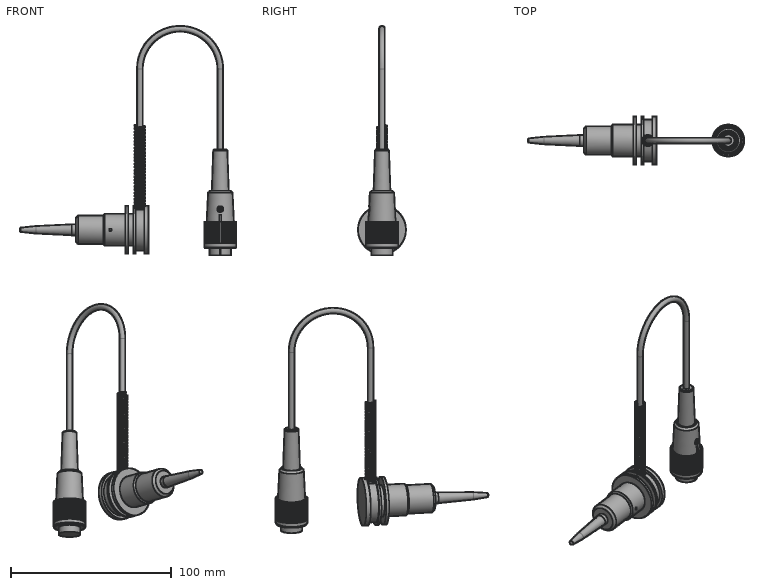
import cadquery as cq
import math


POINT_DIA = 2.9
POINT_LENGTH = 0.7
FRONT_CONE_DIA = 4.8
FRONT_CONE_END = 10.0
REAR_CONE_DIA = 7.0
REAR_CONE_END = 32.2
COLLAR_DIA = 7.1
SOCKET_DEPTH = 4.3

BARREL_START = 34.8
FRONT_BARREL_DIA = 18.0
NOSE_CHAMFER = 1.5
REAR_BARREL_START = 51.9
REAR_BARREL_DIA = 20.0
STEP_CHAMFER = (REAR_BARREL_DIA - FRONT_BARREL_DIA) / 2
FLANGE_DIA = 30.0
GUARD_START = 65.8
GUARD_END = 67.6
SPOOL_START = 70.6
GROOVE_START = 72.0
GROOVE_END = 77.3
HANDLE_END = 80.2
GROOVE_DIA = 26.2
SIDE_HOLE_DIA = 1.5
SIDE_HOLE_X = 56.3
SIDE_HOLE_DEPTH = 2.1

CABLE_DIA = 3.7
CABLE_X = (GROOVE_START + GROOVE_END) / 2
CONNECTOR_X = 124.7
ARCH_RADIUS = (CONNECTOR_X - CABLE_X) / 2
CABLE_TOP = 126.8
ARCH_Z = CABLE_TOP - ARCH_RADIUS - CABLE_DIA / 2

WIRE_DIA = 1.0
SPRING_OUTER_DIA = 6.7
SPRING_PITCH = 2 * WIRE_DIA
SPRING_TURNS = 26
SPRING_RADIUS = (SPRING_OUTER_DIA - WIRE_DIA) / 2
WIRE_CLEARANCE = 0.07
SPRING_SEAT_DIA = 7.0
SPRING_SEAT_Z = 12.4
SPRING_START = SPRING_SEAT_Z + WIRE_DIA / 2 + WIRE_CLEARANCE

BOOT_TOP = 49.9
BOOT_TOP_DIA = 9.0
BOOT_CHAMFER = 0.7
BOOT_BOTTOM_DIA = 10.7
BODY_TOP = 24.4
BODY_CHAMFER = 1.4
BODY_TOP_DIA = 15.4
BODY_BOTTOM_DIA = 17.1
PLUG_DIA = 13.5
PLUG_BOTTOM = -15.8
SCREW_DIA = 3.7
SCREW_Z = 12.8
SCREW_RECESS = 0.4
CROSS_WIDTH = 0.7
CROSS_LENGTH = 2.9
CROSS_DEPTH = 0.9
SLOT_WIDTH = 1.1
SLOT_DEPTH = 0.9
SLOT_TOP = 9.3
KEYWAY_WIDTH = 0.9
KEYWAY_DEPTH = 1.0
KEYWAY_BOTTOM = -15.0

NUT_DIA = 20.0
NUT_TOP = 4.8
NUT_BOTTOM = -11.5
NUT_CHAMFER_WIDTH = 0.4
NUT_CHAMFER_HEIGHT = 0.9
KNURL_BOTTOM = -8.4
KNURL_DEPTH = 0.4
KNURL_COUNT = 120
INDEX_WIDTH = 1.3


def revolve_about_x(points):
    """Turn (x, radius) points, closed along the X axis, into a solid."""
    outline = cq.Workplane("XY").moveTo(points[0][0], 0).lineTo(*points[0])
    for point in points[1:]:
        outline = outline.lineTo(*point)
    return outline.lineTo(points[-1][0], 0).close().revolve(360, (0, 0), (1, 0))


def make_probe():
    point_radius = POINT_DIA / 2
    ball_radius = (point_radius**2 + POINT_LENGTH**2) / (2 * POINT_LENGTH)
    half_angle = math.asin(point_radius / ball_radius) / 2
    arc_middle = (ball_radius * (1 - math.cos(half_angle)), ball_radius * math.sin(half_angle))
    probe_end = BARREL_START + SOCKET_DEPTH
    return (
        cq.Workplane("XY")
        .threePointArc(arc_middle, (POINT_LENGTH, point_radius))
        .lineTo(FRONT_CONE_END, FRONT_CONE_DIA / 2)
        .lineTo(REAR_CONE_END, REAR_CONE_DIA / 2)
        .lineTo(REAR_CONE_END, COLLAR_DIA / 2)
        .lineTo(probe_end, COLLAR_DIA / 2)
        .lineTo(probe_end, 0)
        .close()
        .revolve(360, (0, 0), (1, 0))
    )


def make_handle():
    front, rear, flange, groove = (
        dia / 2 for dia in (FRONT_BARREL_DIA, REAR_BARREL_DIA, FLANGE_DIA, GROOVE_DIA)
    )
    handle = revolve_about_x([
        (BARREL_START, front - NOSE_CHAMFER),
        (BARREL_START + NOSE_CHAMFER, front),
        (REAR_BARREL_START, front),
        (REAR_BARREL_START + STEP_CHAMFER, rear),
        (GUARD_START, rear),
        (GUARD_START, flange),
        (GUARD_END, flange),
        (GUARD_END, rear),
        (SPOOL_START, rear),
        (SPOOL_START, flange),
        (GROOVE_START, flange),
        (GROOVE_START, groove),
        (GROOVE_END, groove),
        (GROOVE_END, flange),
        (HANDLE_END, flange),
    ])
    probe_socket = (
        cq.Workplane("YZ", origin=(BARREL_START, 0, 0)).circle(COLLAR_DIA / 2).extrude(SOCKET_DEPTH)
    )
    side_hole = (
        cq.Workplane("XZ", origin=(SIDE_HOLE_X, -rear, 0))
        .circle(SIDE_HOLE_DIA / 2)
        .extrude(-SIDE_HOLE_DEPTH)
    )
    cable_socket = (
        cq.Workplane("XY", origin=(CABLE_X, 0, groove - SOCKET_DEPTH))
        .circle(CABLE_DIA / 2)
        .extrude(SOCKET_DEPTH)
    )
    spring_seat = (
        cq.Workplane("XY", origin=(CABLE_X, 0, SPRING_SEAT_Z))
        .circle(SPRING_SEAT_DIA / 2)
        .extrude(flange - SPRING_SEAT_Z)
    )
    return handle.cut(probe_socket).cut(side_hole).cut(cable_socket).cut(spring_seat)


def make_cable():
    cable_start = GROOVE_DIA / 2 - SOCKET_DEPTH
    path = (
        cq.Workplane("XZ")
        .moveTo(CABLE_X, cable_start)
        .lineTo(CABLE_X, ARCH_Z)
        .threePointArc((CABLE_X + ARCH_RADIUS, ARCH_Z + ARCH_RADIUS), (CONNECTOR_X, ARCH_Z))
        .lineTo(CONNECTOR_X, BOOT_TOP - SOCKET_DEPTH)
    )
    return cq.Workplane("XY", origin=(CABLE_X, 0, cable_start)).circle(CABLE_DIA / 2).sweep(path)


def make_spring():
    coil = cq.Wire.makeHelix(SPRING_PITCH, SPRING_PITCH * SPRING_TURNS, SPRING_RADIUS)
    spring = (
        cq.Workplane("XZ", origin=(SPRING_RADIUS, 0, 0))
        .circle(WIRE_DIA / 2)
        .sweep(cq.Workplane(obj=coil), isFrenet=True)
        .rotate((0, 0, 0), (0, 0, 1), 180)
    )
    return spring.translate((CABLE_X, 0, SPRING_START))


def body_radius(z):
    """Radius of the tapered connector body at height z."""
    top = BODY_TOP - BODY_CHAMFER
    fraction = (top - z) / (top - NUT_TOP)
    return (BODY_TOP_DIA + fraction * (BODY_BOTTOM_DIA - BODY_TOP_DIA)) / 2


def front_cut(width, bottom, top, depth, surface_radius):
    """Box that cuts a slot of the given depth into the -Y side of the connector."""
    height = top - bottom
    return cq.Workplane("XY").box(width, 2 * depth, height).translate(
        (CONNECTOR_X, -surface_radius, bottom + height / 2)
    )


def make_connector():
    boot_top, boot_bottom, body_top, body_bottom, plug = (
        dia / 2 for dia in (BOOT_TOP_DIA, BOOT_BOTTOM_DIA, BODY_TOP_DIA, BODY_BOTTOM_DIA, PLUG_DIA)
    )
    connector = (
        cq.Workplane("XZ")
        .polyline([
            (0, PLUG_BOTTOM),
            (plug, PLUG_BOTTOM),
            (plug, NUT_TOP),
            (body_bottom, NUT_TOP),
            (body_top, BODY_TOP - BODY_CHAMFER),
            (body_top - BODY_CHAMFER, BODY_TOP),
            (boot_bottom, BODY_TOP),
            (boot_top, BOOT_TOP - BOOT_CHAMFER),
            (boot_top - BOOT_CHAMFER, BOOT_TOP),
            (0, BOOT_TOP),
        ])
        .close()
        .revolve(360, (0, 0), (0, 1))
        .translate((CONNECTOR_X, 0, 0))
    )
    cable_socket = (
        cq.Workplane("XY", origin=(CONNECTOR_X, 0, BOOT_TOP - SOCKET_DEPTH))
        .circle(CABLE_DIA / 2)
        .extrude(SOCKET_DEPTH)
    )
    slot = front_cut(SLOT_WIDTH, NUT_TOP, SLOT_TOP, SLOT_DEPTH, body_radius(SLOT_TOP))
    keyway = front_cut(KEYWAY_WIDTH, KEYWAY_BOTTOM, NUT_BOTTOM, KEYWAY_DEPTH, plug)
    return connector.cut(cable_socket).cut(slot).cut(keyway).cut(make_screw_recess())


def make_screw_recess():
    """Round recess in the -Y side of the connector body with a screwdriver cross in its floor."""
    floor = body_radius(SCREW_Z) - SCREW_RECESS
    recess = (
        cq.Workplane("XZ", origin=(CONNECTOR_X, -floor, SCREW_Z))
        .circle(SCREW_DIA / 2)
        .extrude(2 * SCREW_RECESS)
    )
    cross = (
        cq.Workplane("XZ", origin=(CONNECTOR_X, -floor, SCREW_Z))
        .rect(CROSS_LENGTH, CROSS_WIDTH)
        .extrude(-CROSS_DEPTH)
        .union(
            cq.Workplane("XZ", origin=(CONNECTOR_X, -floor, SCREW_Z))
            .rect(CROSS_WIDTH, CROSS_LENGTH)
            .extrude(-CROSS_DEPTH)
        )
    )
    return recess.union(cross)


def make_nut():
    outer = NUT_DIA / 2
    core = (
        cq.Workplane("XZ")
        .polyline([
            (0, NUT_BOTTOM),
            (outer - NUT_CHAMFER_WIDTH, NUT_BOTTOM),
            (outer, NUT_BOTTOM + NUT_CHAMFER_HEIGHT),
            (outer, KNURL_BOTTOM),
            (0, KNURL_BOTTOM),
        ])
        .close()
        .revolve(360, (0, 0), (0, 1))
    )
    index_rib = (
        cq.Workplane("XY", origin=(0, 0, KNURL_BOTTOM))
        .center(0, KNURL_DEPTH - outer)
        .rect(INDEX_WIDTH, 2 * KNURL_DEPTH)
        .extrude(NUT_TOP - KNURL_BOTTOM)
    )
    bore = (
        cq.Workplane("XY", origin=(0, 0, NUT_BOTTOM)).circle(PLUG_DIA / 2).extrude(NUT_TOP - NUT_BOTTOM)
    )
    nut = core.union(make_knurl()).union(index_rib).cut(bore)
    return nut.translate((CONNECTOR_X, 0, 0))


def make_knurl():
    """Solid with straight V-shaped ridges around its side."""
    radii = (NUT_DIA / 2, NUT_DIA / 2 - KNURL_DEPTH)
    step = math.pi / KNURL_COUNT
    points = [
        (radii[i % 2] * math.cos(i * step), radii[i % 2] * math.sin(i * step))
        for i in range(2 * KNURL_COUNT)
    ]
    return (
        cq.Workplane("XY", origin=(0, 0, KNURL_BOTTOM))
        .polyline(points)
        .close()
        .extrude(NUT_TOP - KNURL_BOTTOM)
    )


probe = make_probe()
handle = make_handle()
cable = make_cable()
spring = make_spring()
connector = make_connector()
nut = make_nut()

result = cq.Compound.makeCompound([
    body.solids().val() for body in (probe, handle, cable, spring, connector, nut)
])